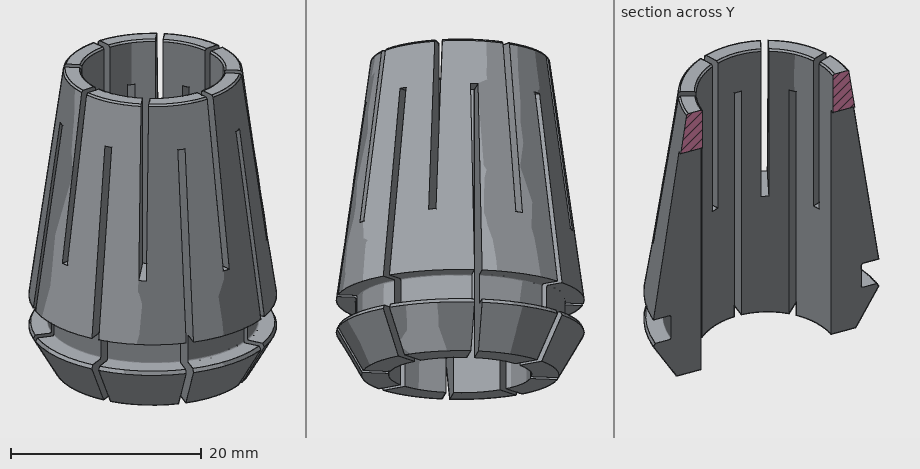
import cadquery as cq
import math

length = 34.0
max_radius = 13.0
bore_radius = 7.5

taper_half_angle = 8.0
taper_base_z = 8.1
mouth_edge_break = 0.2

groove_radius = 11.0
groove_bottom_z = 5.0
groove_corner_radius = 0.2
nut_half_angle = 30.0
nut_rim_height = 0.4
nut_rim_inset = 0.2

cuts_per_set = 8
cut_pitch = 360.0 / cuts_per_set
cut_width = 0.8
lower_cut_top_z = 29.0
upper_cut_bottom_z = 15.0


def make_body():
    """Revolve the half section of the collet about the Z axis."""
    taper_slope = math.tan(math.radians(taper_half_angle))
    mouth_chamfer_z = length - mouth_edge_break
    mouth_chamfer_radius = max_radius - (mouth_chamfer_z - taper_base_z) * taper_slope
    nut_cone_top_z = groove_bottom_z - nut_rim_height
    nut_face_radius = max_radius - nut_cone_top_z * math.tan(math.radians(nut_half_angle))
    fillet_edge_radius = groove_radius + groove_corner_radius

    section = (
        cq.Workplane("XZ")
        .moveTo(bore_radius, 0)
        .lineTo(nut_face_radius, 0)
        .lineTo(max_radius, nut_cone_top_z)
        .lineTo(max_radius - nut_rim_inset, groove_bottom_z)
        .lineTo(fillet_edge_radius, groove_bottom_z)
        .radiusArc((groove_radius, groove_bottom_z + groove_corner_radius), groove_corner_radius)
        .lineTo(groove_radius, taper_base_z - groove_corner_radius)
        .radiusArc((fillet_edge_radius, taper_base_z), groove_corner_radius)
        .lineTo(max_radius, taper_base_z)
        .lineTo(mouth_chamfer_radius, mouth_chamfer_z)
        .lineTo(mouth_chamfer_radius - mouth_edge_break, length)
        .lineTo(bore_radius + mouth_edge_break, length)
        .lineTo(bore_radius, mouth_chamfer_z)
        .close()
    )
    return section.revolve(360, (0, 0), (0, 1))


def cut_set(body, bottom_z, top_z, first_angle):
    """Saw the wall into evenly spaced fingers; each blade crosses the full diameter."""
    for index in range(cuts_per_set // 2):
        blade = (
            cq.Workplane("XY")
            .box(2 * max_radius, cut_width, top_z - bottom_z, centered=(True, True, False))
            .translate((0, 0, bottom_z))
            .rotate((0, 0, 0), (0, 0, 1), first_angle + index * cut_pitch)
        )
        body = body.cut(blade)
    return body


result = make_body()
result = cut_set(result, 0, lower_cut_top_z, 0)
result = cut_set(result, upper_cut_bottom_z, length, cut_pitch / 2)